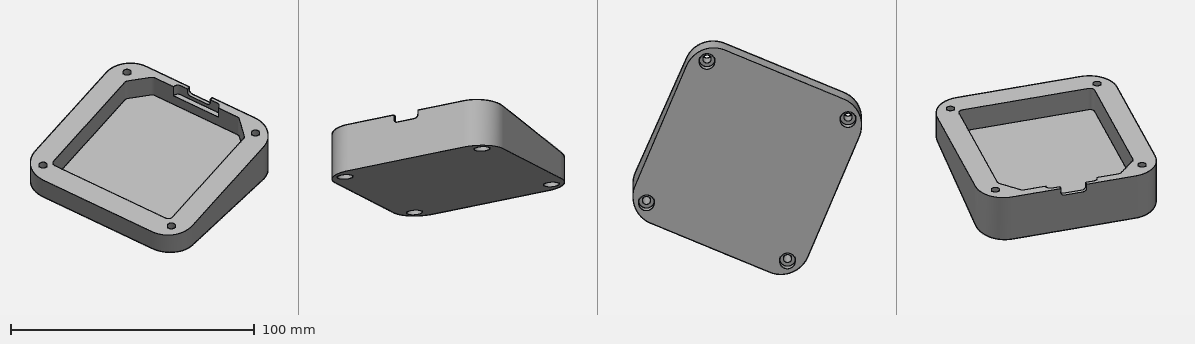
import cadquery as cq

side = 77.15
back_height = 20.8
front_height = 10.0
corner_radius = 11.95

pocket_half_width = 29.1
pocket_front = -29.1
pocket_back = 35.0
pocket_depth = 10.5
pocket_corner_cut = 8.0
pocket_fillet = 2.0

recess_width = 21.9
recess_back = 37.1
recess_depth = 5.4
recess_fillet = 2.0

notch_width = 11.0
notch_depth = 3.5
notch_fillet = 1.55

hole_pitch = 62.95
hole_diameter = 3.4
head_diameter = 6.5
head_depth = 3.1

half_side = side / 2
top = back_height
slope = (back_height - front_height) / side


def underside_height(y):
    """Z of the sloping underside at a given Y."""
    return slope * (half_side - y)


def box_below_top(width, y_front, y_back, depth):
    """Box centred on X, reaching down from the top face."""
    length = y_back - y_front
    return (
        cq.Workplane("XY", origin=(0, (y_front + y_back) / 2, top - depth))
        .box(width, length, depth, centered=(True, True, False))
    )


def make_body():
    block = (
        cq.Workplane("XY")
        .box(side, side, back_height, centered=(True, True, False))
        .edges("|Z").fillet(corner_radius)
    )
    wedge_below = (
        cq.Workplane("YZ", origin=(-half_side, 0, 0))
        .moveTo(half_side, 0)
        .lineTo(-half_side, underside_height(-half_side))
        .lineTo(-half_side, 0)
        .close()
        .extrude(side)
    )
    return block.cut(wedge_below)


def make_pocket():
    pocket = box_below_top(2 * pocket_half_width, pocket_front, pocket_back, pocket_depth)
    pocket = pocket.edges("|Z and >Y").chamfer(pocket_corner_cut)
    return pocket.edges("|Z").fillet(pocket_fillet)


def make_recess():
    recess = box_below_top(recess_width, 0, recess_back, recess_depth)
    return recess.edges("|Z and >Y").fillet(recess_fillet)


def make_notch():
    notch = box_below_top(notch_width, pocket_back, half_side, notch_depth)
    return notch.edges("|Y and <Z").fillet(notch_fillet)


def make_screw_hole(x, y):
    bore = cq.Workplane("XY", origin=(x, y, 0)).circle(hole_diameter / 2).extrude(top)
    head_seat = underside_height(y - head_diameter / 2) + head_depth
    head = cq.Workplane("XY", origin=(x, y, 0)).circle(head_diameter / 2).extrude(head_seat)
    return bore.union(head)


result = make_body().cut(make_pocket()).cut(make_recess()).cut(make_notch())
for x_side in (-1, 1):
    for y_side in (-1, 1):
        result = result.cut(make_screw_hole(x_side * hole_pitch / 2, y_side * hole_pitch / 2))